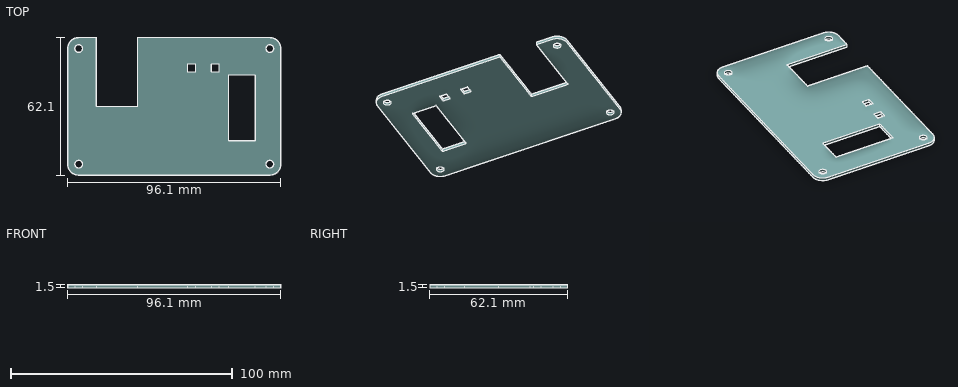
import cadquery as cq

plate_length = 96.1
plate_width = 62.1
plate_thickness = 1.5
corner_radius = 5.0

hole_diameter = 3.4
hole_inset = corner_radius

notch_left_margin = 13.0
notch_width = 18.5
notch_depth = plate_width / 2

square_size = 3.5
square_pitch = 10.7
square_pair_x = 13.1
square_pair_y = 17.3

window_width = 12.0
window_height = 29.5
window_x = 30.5
window_y = -0.7


def rectangular_cutter(width, height, centre_x, centre_y):
    """Block of the plate's thickness for cutting a rectangular opening."""
    cutter = cq.Workplane("XY").box(width, height, plate_thickness, centered=(True, True, False))
    return cutter.translate((centre_x, centre_y, 0))


plate = (
    cq.Workplane("XY")
    .box(plate_length, plate_width, plate_thickness, centered=(True, True, False))
    .edges("|Z")
    .fillet(corner_radius)
)

plate = (
    plate.faces(">Z")
    .workplane(origin=(0, 0, plate_thickness))
    .rect(plate_length - 2 * hole_inset, plate_width - 2 * hole_inset, forConstruction=True)
    .vertices()
    .hole(hole_diameter)
)

notch_x = -plate_length / 2 + notch_left_margin + notch_width / 2
notch_y = plate_width / 2 - notch_depth / 2
plate = plate.cut(rectangular_cutter(notch_width, notch_depth, notch_x, notch_y))

for side in (-1, 1):
    square_x = square_pair_x + side * square_pitch / 2
    plate = plate.cut(rectangular_cutter(square_size, square_size, square_x, square_pair_y))

plate = plate.cut(rectangular_cutter(window_width, window_height, window_x, window_y))

result = plate